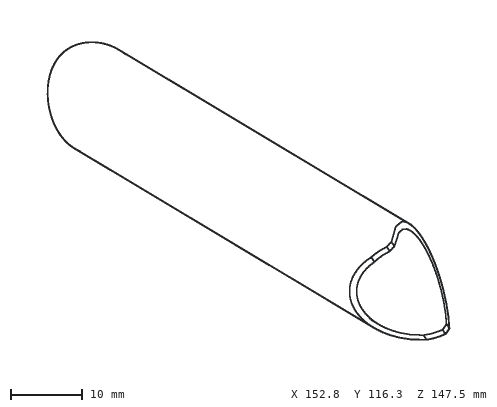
import cadquery as cq
import math

outer_radius = 7.5
wall = 0.8
slope_run = 142.4
slope_rise = 136.7
side_fall = 28.8
cope_radius = 10.4
tip_height = 1.0
bevel_angle = 43.0
nose_length = 3.0
nose_height = 2.6
nose_setback = 0.6
overrun = 45.8

heading_angle = math.degrees(math.atan2(slope_rise, slope_run))
tip_distance = math.hypot(slope_run, slope_rise)
lean = math.radians(side_fall)
axis_direction = cq.Vector(math.cos(lean), -math.sin(lean), 0)


def raw_tube():
    """Plain tube whose axis passes through the upper tip, long enough to trim."""
    length = tip_distance / math.cos(lean) + 2 * overrun
    start = cq.Vector(0, tip_height, 0) - axis_direction * (length - overrun)
    section = cq.Plane(origin=start.toTuple(), xDir=(0, 0, 1), normal=axis_direction.toTuple())
    return cq.Workplane(section).circle(outer_radius).circle(outer_radius - wall).extrude(length)


def lower_saddle():
    """Cylinder along Y, with everything beyond it, that copes the lower end."""
    depth = math.sqrt(cope_radius**2 - outer_radius**2)
    centre_x = -tip_distance - depth
    height = 2 * tip_distance
    cylinder = cq.Workplane("XZ").center(centre_x, 0).circle(cope_radius).extrude(height, both=True)
    beyond = (
        cq.Workplane("XZ")
        .center(centre_x - overrun, 0)
        .rect(2 * overrun, 2 * cope_radius)
        .extrude(height, both=True)
    )
    return cylinder.union(beyond)


def upper_wedge():
    """Region kept at the upper end: a flat face square to Y, a blunted nose and a sloping face."""
    slope = math.tan(math.radians(bevel_angle))
    reach = 2 * tip_distance
    return (
        cq.Workplane("XY")
        .moveTo(-nose_length, 0)
        .lineTo(0, tip_height)
        .lineTo(-nose_setback, nose_height)
        .lineTo(-reach, nose_height + (reach - nose_setback) * slope)
        .lineTo(-reach, 0)
        .close()
        .extrude(2 * outer_radius, both=True)
    )


trimmed_tube = raw_tube().intersect(upper_wedge()).cut(lower_saddle())
result = trimmed_tube.rotate((0, 0, 0), (0, 1, 0), -heading_angle)